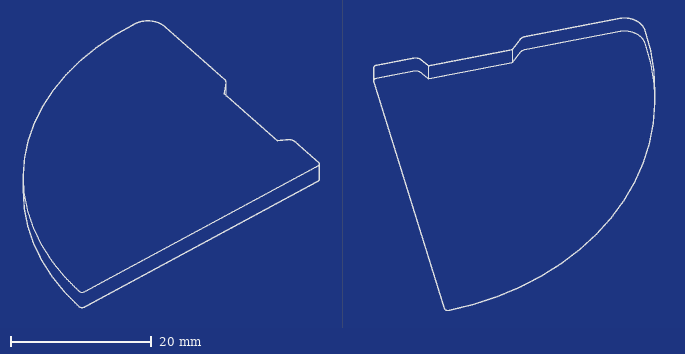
import cadquery as cq
import math

width = 39.1
length = 43.15
thickness = 3.0

outer_corner_radius = 3.0
small_corner_radius = 0.5

rim_radius = width
rim_center_y = rim_radius - length

notch_depth = 1.85
notch_floor_left = -19.95
notch_floor_right = -7.7
notch_left_run = notch_depth
notch_right_run = 1.1
mouth_radius = 1.1


def sector_plate():
    """Quarter-round plate, bounded by two straight edges and the rim."""
    rim_top_x = -math.sqrt(rim_radius**2 - rim_center_y**2)
    rim_middle = (
        -rim_radius * math.sqrt(0.5),
        rim_center_y - rim_radius * math.sqrt(0.5),
    )
    return (
        cq.Workplane("XY")
        .lineTo(0, -length)
        .threePointArc(rim_middle, (rim_top_x, 0))
        .close()
        .extrude(thickness)
    )


def round_corners(plate):
    """Round the three vertical corners of the sector."""
    plate = plate.edges("|Z and >X").fillet(small_corner_radius)
    outer_corner = cq.selectors.NearestToPointSelector((-width, 0, thickness / 2))
    return plate.edges("|Z").edges(outer_corner).fillet(outer_corner_radius)


def cut_notch(plate):
    """Cut the notch through the plate and round where it meets the back edge."""
    mouth_left = notch_floor_left - notch_left_run
    mouth_right = notch_floor_right + notch_right_run
    notch = (
        cq.Workplane("XY")
        .polyline([
            (mouth_left, 0),
            (notch_floor_left, -notch_depth),
            (notch_floor_right, -notch_depth),
            (mouth_right, 0),
        ])
        .close()
        .extrude(thickness)
    )
    plate = plate.cut(notch)
    for mouth_x in (mouth_left, mouth_right):
        corner = cq.selectors.NearestToPointSelector((mouth_x, 0, thickness / 2))
        plate = plate.edges("|Z").edges(corner).fillet(mouth_radius)
    return plate


result = cut_notch(round_corners(sector_plate()))